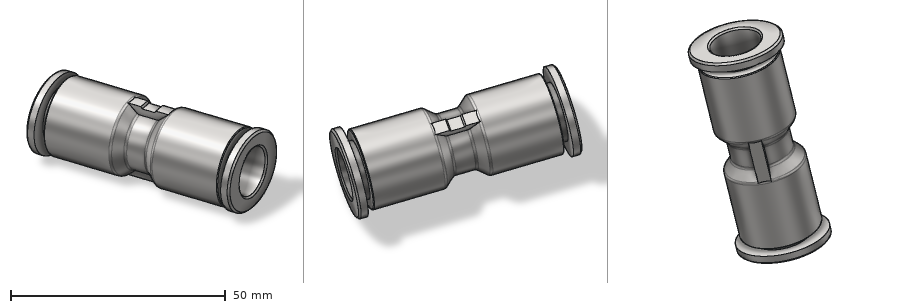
import cadquery as cq

total_length = 54.8
half_length = total_length / 2

flange_width = 22.5
flange_height = 19.7
flange_thickness = 2.25
flange_chamfer = 0.5

sleeve_diameter = 14.35
body_gap = 4.0

body_diameter = 19.7
body_edge_chamfer = 0.2
waist_diameter = 15.0
barrel_length = 17.9
cone_length = 2.75
bend_radius = 1.0

rib_width = 3.1
rib_height = 19.35
notch_depth = 0.5
notch_floor_length = 3.3
notch_mouth_length = 4.05

bore_diameter = 12.2
bore_chamfer = 0.45
bore_depth = body_gap + barrel_length

body_half_length = half_length - body_gap
body_radius = body_diameter / 2
waist_radius = waist_diameter / 2
cone_outer_x = body_half_length - barrel_length
cone_inner_x = cone_outer_x - cone_length


def make_body():
    """Revolved body: two barrels joined by a coned-in waist."""
    body = (
        cq.Workplane("XY")
        .moveTo(-body_half_length, 0)
        .lineTo(-body_half_length, body_radius)
        .lineTo(-cone_outer_x, body_radius)
        .lineTo(-cone_inner_x, waist_radius)
        .lineTo(cone_inner_x, waist_radius)
        .lineTo(cone_outer_x, body_radius)
        .lineTo(body_half_length, body_radius)
        .lineTo(body_half_length, 0)
        .close()
        .revolve(360, (0, 0, 0), (1, 0, 0))
    )
    end_faces = body.faces("<X or >X")
    body = end_faces.edges().chamfer(body_edge_chamfer)
    bend_zone = cq.selectors.BoxSelector(
        (-cone_outer_x - bend_radius, -body_radius, -body_radius),
        (cone_outer_x + bend_radius, body_radius, body_radius),
    )
    return body.edges("%CIRCLE").edges(bend_zone).fillet(bend_radius)


def make_rib():
    """Upright rib across the waist, ending inside the barrels."""
    top = rib_height / 2
    rib_half_length = cone_outer_x + bend_radius
    return (
        cq.Workplane("XZ")
        .moveTo(-rib_half_length, -top)
        .lineTo(-rib_half_length, top)
        .lineTo(-notch_mouth_length / 2, top)
        .lineTo(-notch_floor_length / 2, top - notch_depth)
        .lineTo(notch_floor_length / 2, top - notch_depth)
        .lineTo(notch_mouth_length / 2, top)
        .lineTo(rib_half_length, top)
        .lineTo(rib_half_length, -top)
        .close()
        .extrude(rib_width / 2, both=True)
    )


def make_left_collar():
    """Oval flange with a chamfered outer face, on a round sleeve."""
    flange = (
        cq.Workplane("YZ", origin=(-half_length, 0, 0))
        .ellipse(flange_width / 2, flange_height / 2)
        .extrude(flange_thickness)
        .faces("<X")
        .chamfer(flange_chamfer)
    )
    sleeve = (
        cq.Workplane("YZ", origin=(-half_length + flange_thickness, 0, 0))
        .circle(sleeve_diameter / 2)
        .extrude(body_gap - flange_thickness)
    )
    return flange.union(sleeve)


def make_left_bore():
    """Blind socket with a chamfered mouth."""
    bore_radius = bore_diameter / 2
    return (
        cq.Workplane("XY")
        .moveTo(-half_length, 0)
        .lineTo(-half_length, bore_radius + bore_chamfer)
        .lineTo(-half_length + bore_chamfer, bore_radius)
        .lineTo(-half_length + bore_depth, bore_radius)
        .lineTo(-half_length + bore_depth, 0)
        .close()
        .revolve(360, (0, 0, 0), (1, 0, 0))
    )


left_collar = make_left_collar()
left_bore = make_left_bore()

result = make_body().union(make_rib())
result = result.union(left_collar).union(left_collar.mirror("YZ"))
result = result.cut(left_bore).cut(left_bore.mirror("YZ"))